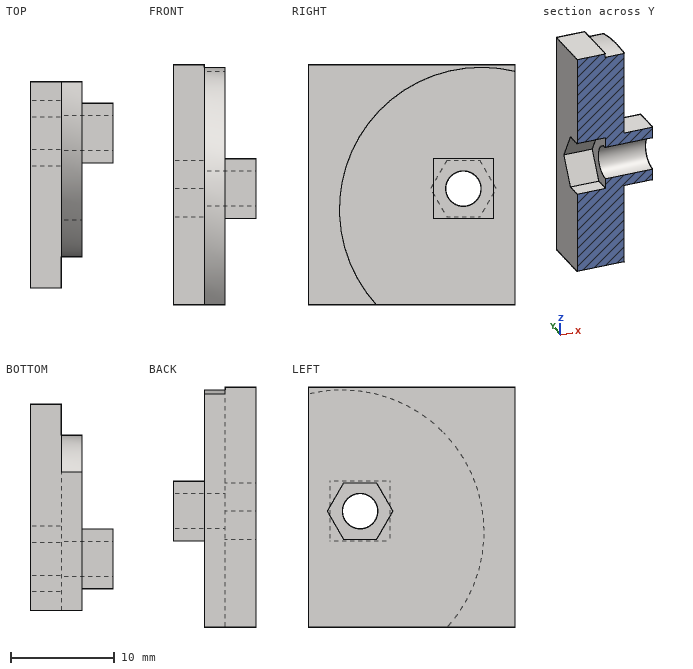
import cadquery as cq

plate_thickness = 3.0
plate_width = 20.0
plate_height = 23.25

disc_thickness = 2.0
disc_radius = 13.75
disc_center_from_side = 3.25
disc_center_y = plate_width - disc_center_from_side
disc_center_z = 9.25

axis_from_side = 5.0
axis_from_top = 12.0
axis_y = plate_width - axis_from_side
axis_z = plate_height - axis_from_top

boss_side = 5.8
boss_length = 3.0

hole_diameter = 3.4
nut_across_corners = 6.35
nut_depth = plate_thickness

total_length = plate_thickness + disc_thickness + boss_length


def axis_plane(x):
    """Workplane at the given X, centred on the common axis and facing +X."""
    return cq.Workplane("YZ", origin=(x, axis_y, axis_z))


def plate_outline_block(x, thickness):
    """Block with the plate's rectangular outline, starting at the given X."""
    block = cq.Workplane("YZ").rect(plate_width, plate_height, centered=False).extrude(thickness)
    return block.translate((x, 0, 0))


def trimmed_disc():
    center = (plate_thickness, disc_center_y, disc_center_z)
    disc = cq.Workplane("YZ", origin=center).circle(disc_radius).extrude(disc_thickness)
    return disc.intersect(plate_outline_block(plate_thickness, disc_thickness))


def square_boss():
    base_x = plate_thickness + disc_thickness
    return axis_plane(base_x).rect(boss_side, boss_side).extrude(boss_length)


def screw_hole():
    return axis_plane(0).circle(hole_diameter / 2).extrude(total_length)


def nut_pocket():
    return axis_plane(0).polygon(6, nut_across_corners).extrude(nut_depth)


result = (
    plate_outline_block(0, plate_thickness)
    .union(trimmed_disc())
    .union(square_boss())
    .cut(screw_hole())
    .cut(nut_pocket())
)